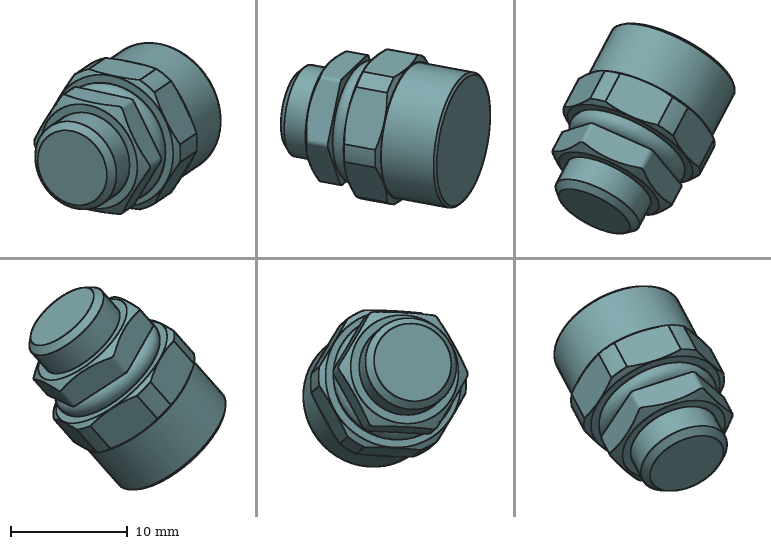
import cadquery as cq
import math

plug_length = 2.9
small_hex_back = 5.4
large_hex_front = 7.0
large_hex_back = 10.5
total_length = 15.6

plug_diameter = 8.0
plug_chamfer = 0.6

small_hex_flats = 10.0
small_hex_corner_radius = 0.5
small_hex_face = 9.5
large_hex_flats = 12.0
large_hex_corners = 13.0
large_hex_face = 11.94
hex_chamfer_angle = 30.0

ring_outer_diameter = 10.8
ring_cord_diameter = 2.0

body_diameter = 11.8
body_chamfer = 0.2


def cylinder(diameter, start, end):
    """Cylinder about the Y axis between two stations."""
    plane = cq.Workplane("XZ", origin=(0, start, 0))
    return plane.circle(diameter / 2).extrude(start - end)


def point_diameter(flats):
    """Distance across the sharp points of a hexagon."""
    return flats / math.cos(math.radians(30))


def hex_prism(flats, start, end):
    """Sharp hexagonal prism along Y with points on +/-X."""
    plane = cq.Workplane("XZ", origin=(0, start, 0))
    return plane.polygon(6, point_diameter(flats)).extrude(start - end)


def turned_blank(diameter, face, start, end, chamfered_ends):
    """Round blank whose selected ends taper conically to the face diameter."""
    chamfer_width = (diameter - face) / 2
    chamfer_depth = chamfer_width * math.tan(math.radians(hex_chamfer_angle))
    blank = cylinder(diameter, start, end)
    for chamfered_end in chamfered_ends:
        blank = blank.faces(chamfered_end).chamfer(chamfer_depth, chamfer_width)
    return blank


def make_small_hex():
    """Hexagon with rounded corners, chamfered on its front end."""
    prism = hex_prism(small_hex_flats, plug_length, small_hex_back)
    prism = prism.edges("|Y").fillet(small_hex_corner_radius)
    blank_diameter = point_diameter(small_hex_flats)
    blank = turned_blank(blank_diameter, small_hex_face, plug_length, small_hex_back, ["<Y"])
    return prism.intersect(blank)


def make_large_hex():
    """Hexagon with its corners turned round, chamfered on both ends."""
    prism = hex_prism(large_hex_flats, large_hex_front, large_hex_back)
    blank = turned_blank(
        large_hex_corners, large_hex_face, large_hex_front, large_hex_back, ["<Y", ">Y"]
    )
    return prism.intersect(blank)


def make_plug():
    """Plug with a front chamfer; its neck joins the two hexagons."""
    return cylinder(plug_diameter, 0, large_hex_front).faces("<Y").chamfer(plug_chamfer)


def make_ring():
    """O-ring around the neck, partly seated in the large hexagon."""
    cord_radius = ring_cord_diameter / 2
    cord_center_radius = ring_outer_diameter / 2 - cord_radius
    cord_center = (cord_center_radius, small_hex_back + cord_radius, 0)
    section = cq.Workplane(cq.Plane(origin=cord_center, xDir=(-1, 0, 0), normal=(0, 0, 1)))
    axis_start = (cord_center_radius, 0)
    axis_end = (cord_center_radius, 1)
    return section.circle(cord_radius).revolve(360, axis_start, axis_end)


def make_body():
    """Rear cylinder with a small chamfer on its open end."""
    return cylinder(body_diameter, large_hex_back, total_length).faces(">Y").chamfer(body_chamfer)


result = make_plug()
for section_solid in (make_small_hex(), make_ring(), make_large_hex(), make_body()):
    result = result.union(section_solid)